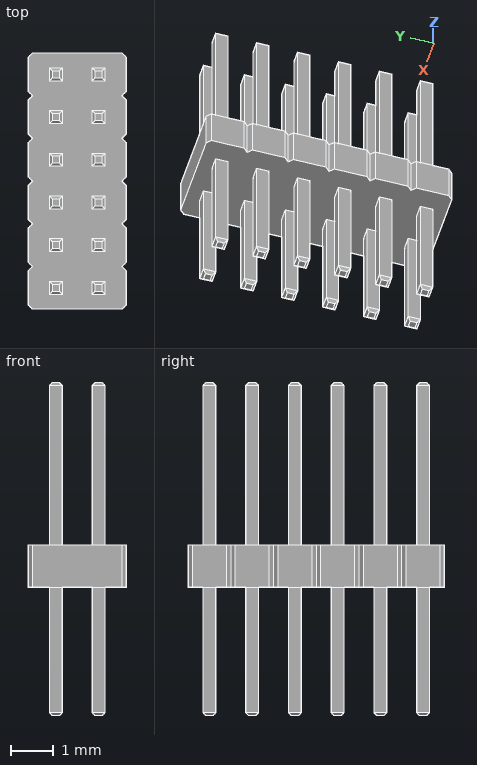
import cadquery as cq

rows = 6
columns = 2
body_length = 6.0
body_width = 2.3
body_height = 1.0
corner_chamfer = 0.1
pitch = body_length / rows

pin_width = 0.305
pin_length = 7.8
pin_below_body = 3.0
tip_chamfer = 0.07


def centred_positions(count):
    """Evenly pitched positions, centred on zero."""
    return [(index - (count - 1) / 2) * pitch for index in range(count)]


def body_segment():
    """One block with chamfered upright corners, which form V notches between neighbours."""
    return (
        cq.Workplane("XY")
        .box(body_width, pitch, body_height, centered=(True, True, False))
        .edges("|Z")
        .chamfer(corner_chamfer)
    )


def pin():
    """Square pin through the body, whose underside lies at Z = 0."""
    return (
        cq.Workplane("XY", origin=(0, 0, -pin_below_body))
        .box(pin_width, pin_width, pin_length, centered=(True, True, False))
        .faces("<Z or >Z")
        .chamfer(tip_chamfer)
    )


single_segment = body_segment()
single_pin = pin()

result = cq.Workplane("XY")
for y in centred_positions(rows):
    result = result.union(single_segment.translate((0, y, 0)))

for x in centred_positions(columns):
    for y in centred_positions(rows):
        result = result.union(single_pin.translate((x, y, 0)))

result = result.clean()